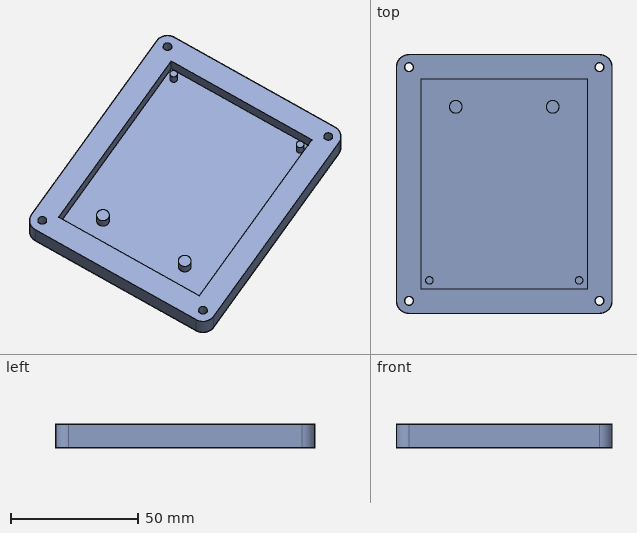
import cadquery as cq

width = 85.0
length = 102.0
height = 9.3
corner_radius = 5.0

rim_width = 9.7
pocket_depth = 6.3
floor_thickness = height - pocket_depth

screw_hole_diameter = 3.4

post_height = 4.5

large_post_diameter = 5.0
large_post_spacing = 38.1
large_post_y = 30.4

small_post_diameter = 3.0
small_post_spacing = 59.0
small_post_y = -37.9


def make_body():
    """Flat block with rounded vertical corners, resting on Z = 0."""
    block = cq.Workplane("XY").box(width, length, height, centered=(True, True, False))
    return block.edges("|Z").fillet(corner_radius)


def make_pocket():
    """Volume removed above the tray floor."""
    return (
        cq.Workplane("XY", origin=(0, 0, floor_thickness))
        .rect(width - 2 * rim_width, length - 2 * rim_width)
        .extrude(pocket_depth)
    )


def make_screw_holes():
    """Through holes at the centers of the four corner arcs."""
    return (
        cq.Workplane("XY")
        .rect(width - 2 * corner_radius, length - 2 * corner_radius, forConstruction=True)
        .vertices()
        .circle(screw_hole_diameter / 2)
        .extrude(height)
    )


def make_post_pair(diameter, spacing, y):
    """Two posts mirrored about X = 0, rooted in the floor and rising above it."""
    return (
        cq.Workplane("XY")
        .pushPoints([(-spacing / 2, y), (spacing / 2, y)])
        .circle(diameter / 2)
        .extrude(floor_thickness + post_height)
    )


large_posts = make_post_pair(large_post_diameter, large_post_spacing, large_post_y)
small_posts = make_post_pair(small_post_diameter, small_post_spacing, small_post_y)

result = make_body().cut(make_pocket()).cut(make_screw_holes()).union(large_posts).union(small_posts)